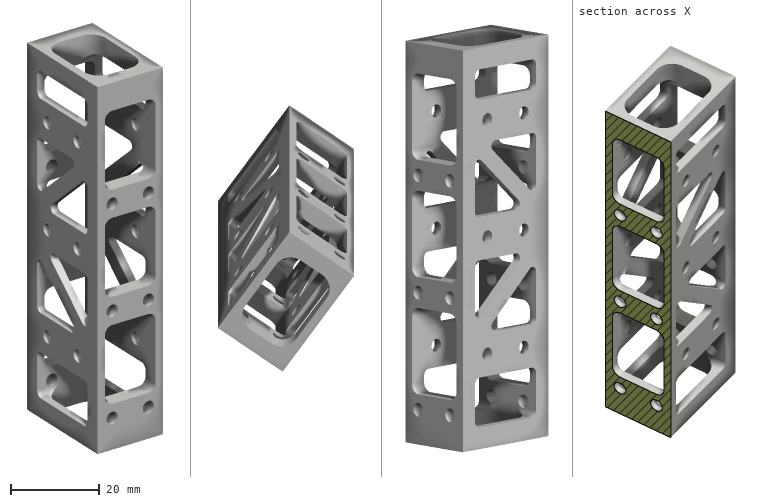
import cadquery as cq

WIDTH = 28.0
DEPTH = 18.0
HEIGHT = 92.5
SIDE_WALL = 4.0
FACE_WALL = 2.0
CAVITY_WIDTH = WIDTH - 2 * SIDE_WALL
CAVITY_DEPTH = DEPTH - 2 * FACE_WALL
CAVITY_RADIUS = 4.1

SCREW_DIAMETER = 3.1
ROW_PITCH = 27.0
ROW_COUNT = 3
FACE_ROW_BASE = 21.5
FACE_HOLE_SPACING = 12.0
SIDE_ROW_BASE = FACE_ROW_BASE - ROW_PITCH / 2
SIDE_HOLE_SPACING = 10.0

END_MARGIN = 5.0
FACE_WINDOW_RADIUS = 1.5
TOP_WINDOW_HEIGHT = 7.0
ROW_TO_WINDOW = 5.0
BOTTOM_WINDOW_HEIGHT = FACE_ROW_BASE - ROW_TO_WINDOW - END_MARGIN

TRUSS_HEIGHT = ROW_PITCH - 2 * ROW_TO_WINDOW
BRACE_WIDTH = 3.9
BRACE_ANGLE = 41.4
TRUSS_RADIUS = 1.25

SIDE_WINDOW_WEB = 2.0
SIDE_WINDOW_HEIGHT = ROW_PITCH - SCREW_DIAMETER - 2 * SIDE_WINDOW_WEB
SIDE_WINDOW_RADIUS = 2.1


def box_through_faces(width, height, center_z):
    """Block spanning the full depth, for cutting both broad faces."""
    return cq.Workplane("XY").box(width, DEPTH, height).translate((0, 0, center_z))


def face_window(height, base_z):
    window = box_through_faces(CAVITY_WIDTH, height, base_z + height / 2)
    return window.edges("|Y").fillet(FACE_WINDOW_RADIUS)


def truss_opening(center_z, lean):
    """Two triangles left by a diagonal brace; lean is +1 rising to +X, -1 falling."""
    brace_length = 2 * (CAVITY_WIDTH + TRUSS_HEIGHT)
    brace = cq.Workplane("XY").box(brace_length, 2 * DEPTH, BRACE_WIDTH)
    brace = brace.rotate((0, 0, 0), (0, 1, 0), -lean * BRACE_ANGLE)
    opening = box_through_faces(CAVITY_WIDTH, TRUSS_HEIGHT, 0).cut(brace)
    return opening.edges("|Y").fillet(TRUSS_RADIUS).translate((0, 0, center_z))


def side_window(center_z):
    window = cq.Workplane("XY").box(WIDTH, CAVITY_DEPTH, SIDE_WINDOW_HEIGHT)
    return window.edges("|X").fillet(SIDE_WINDOW_RADIUS).translate((0, 0, center_z))


def hole_pair(plane, spacing, center_z):
    """Two screw holes at one height, through both opposite walls."""
    points = [(-spacing / 2, center_z), (spacing / 2, center_z)]
    reach = max(WIDTH, DEPTH) / 2
    return cq.Workplane(plane).pushPoints(points).circle(SCREW_DIAMETER / 2).extrude(reach, both=True)


body = cq.Workplane("XY").rect(WIDTH, DEPTH).extrude(HEIGHT)
cavity = cq.Workplane("XY").rect(CAVITY_WIDTH, CAVITY_DEPTH).extrude(HEIGHT)
body = body.cut(cavity.edges("|Z").fillet(CAVITY_RADIUS))

body = body.cut(face_window(BOTTOM_WINDOW_HEIGHT, END_MARGIN))
body = body.cut(face_window(TOP_WINDOW_HEIGHT, HEIGHT - END_MARGIN - TOP_WINDOW_HEIGHT))

for bay, brace_lean in enumerate((-1, 1)):
    body = body.cut(truss_opening(FACE_ROW_BASE + (bay + 0.5) * ROW_PITCH, brace_lean))

for row in range(ROW_COUNT):
    side_row_z = SIDE_ROW_BASE + row * ROW_PITCH
    body = body.cut(hole_pair("XZ", FACE_HOLE_SPACING, FACE_ROW_BASE + row * ROW_PITCH))
    body = body.cut(hole_pair("YZ", SIDE_HOLE_SPACING, side_row_z))
    body = body.cut(side_window(side_row_z + ROW_PITCH / 2))

result = body